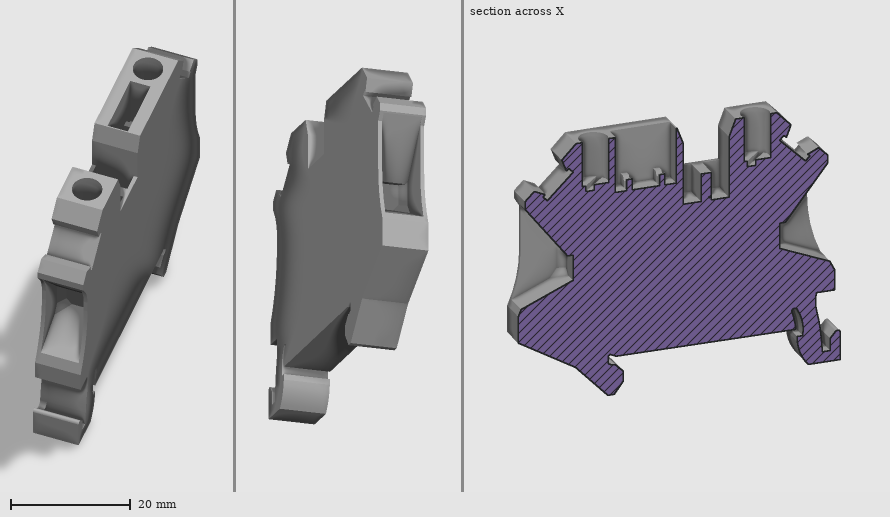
import cadquery as cq


THICKNESS = 8.15
LENGTH = 57.8
HEIGHT = 46.85
MIRROR_Y = 29.4
WALL = 0.7
CAVITY_HALF_WIDTH = THICKNESS / 2 - WALL

SADDLE_FRONT_Y = 20.0
SADDLE_REAR_Y = 28.1
SADDLE_FLOOR_Z = 37.8
TOWER_CHAMFER_WIDTH = 1.2
TOWER_CHAMFER_HEIGHT = 3.1
SADDLE_POCKET_LENGTH = 3.1
SADDLE_POCKET_DEPTH = 5.0

LIP_Y = 2.2
LIP_BOTTOM_Z = 36.3
WAIST_Y = 4.25
REAR_WAIST_Y = 55.65
SHELF_Y = 0.95
SHELF_Z = 12.85

RAIL_SEAT_Z = 6.75
RAIL_SEAT_REAR_Z = 6.9
HOOK_TOP_Z = 5.5
LEG_FOOT = (3.4, 4.7)

SLOT_SIDE_WALL = 1.2
SLOT_FRONT_Y = 1.85
SLOT_FLOOR = (3.18, 2.0)

SCREW_FRONT_Y = 14.9
SCREW_RADIUS = 2.55
SCREW_DEPTH = 8.0
SCREW_SLOT_WIDTH = 1.0
SCREW_SLOT_DEPTH = 1.0
SCREW_SLOT_ANGLE = -45

CHANNEL_WIDTH = 3.6
CHANNEL_FRONT_Y = 29.5
CHANNEL_REAR_Y = 40.3
CHANNEL_DEPTH = 10.0
TOOTH_CENTRES_Y = (31.95, 37.8)
TOOTH_LENGTH = 1.05
TOOTH_HEIGHT = 2.0
TOOTH_GAP = 0.5
TOOTH_CHAMFER_WIDTH = 0.4
TOOTH_CHAMFER_HEIGHT = 0.8

FUNNEL_BACK_Y = 10.8
FUNNEL_ROOF_END_Y = 9.85
FUNNEL_ROOF_END_Z = 26.55
FUNNEL_ROOF_START_Z = 36.25
FUNNEL_FLOOR_START = (1.9, 18.3)
FUNNEL_FLOOR_END_Z = 22.0
FUNNEL_BACK_HALF_WIDTH = 2.15
FUNNEL_SIDE_START_Y = 9.6
FUNNEL_CORNER_START_Y = 8.4
FUNNEL_CORNER_BOTTOM_X = 1.15
FUNNEL_CORNER_TOP_Z = 23.05

SHOULDER = [
    (11.4, HEIGHT),
    (8.8, 44.2),
    (9.65, 42.0),
    (10.1, 42.4),
    (10.85, 41.7),
    (6.25, 37.25),
    (5.5, 38.0),
    (5.9, 38.4),
    (3.9, 39.3),
    (LIP_Y, 37.65),
    (LIP_Y, LIP_BOTTOM_Z),
]

REAR_FOOT = [
    (40.2, RAIL_SEAT_REAR_Z),
    (41.3, 7.4),
    (41.55, 7.2),
    (41.55, 5.8),
    (40.95, HOOK_TOP_Z),
    (40.4, HOOK_TOP_Z),
    (38.9, 4.05),
    (38.9, 2.2),
    (40.55, 0),
    (41.7, 0),
    (47.5, 6.0),
    (LENGTH, 12.05),
    (LENGTH, 16.9),
]


def mirrored(points):
    """Mirror (Y, Z) points to the other end of the block, in reverse order."""
    return [(2 * MIRROR_Y - y, z) for y, z in reversed(points)]


def line_through(sketch, points):
    """Continue a sketch with straight lines through the points."""
    for y, z in points:
        sketch = sketch.lineTo(y, z)
    return sketch


def housing():
    """Full outline, clockwise from the saddle, extruded through the thickness."""
    sketch = cq.Workplane("YZ").moveTo(SADDLE_REAR_Y, SADDLE_FLOOR_Z)
    sketch = line_through(sketch, [
        (SADDLE_FRONT_Y, SADDLE_FLOOR_Z),
        (SADDLE_FRONT_Y, HEIGHT - TOWER_CHAMFER_HEIGHT),
        (SADDLE_FRONT_Y - TOWER_CHAMFER_WIDTH, HEIGHT),
    ])
    sketch = line_through(sketch, SHOULDER)
    sketch = (
        sketch.lineTo(2.95, 35.2)
        .tangentArcPoint((WAIST_Y, 31.15), relative=False)
        .lineTo(WAIST_Y, 29.0)
        .tangentArcPoint((SHELF_Y, 16.5), relative=False)
        .lineTo(SHELF_Y, SHELF_Z)
        .lineTo(WAIST_Y, SHELF_Z)
    )
    sketch = (
        sketch.threePointArc((4.4, 11.2), (4.2, 9.5))
        .threePointArc((3.7, 7.1), LEG_FOOT)
        .threePointArc((2.7, 3.9), (SLOT_FRONT_Y, 4.2))
        .lineTo(0.85, 5.35)
        .threePointArc((0.45, HOOK_TOP_Z), (0, 5.15))
        .lineTo(0, 0)
        .lineTo(5.75, 0)
        .threePointArc((7.15, 2.15), (7.75, 4.5))
        .lineTo(7.75, HOOK_TOP_Z)
        .lineTo(6.8, HOOK_TOP_Z)
        .threePointArc((7.0, 8.6), (7.75, 10.3))
        .threePointArc((8.25, 10.62), (8.65, 10.2))
        .threePointArc((8.2, 8.5), (7.9, RAIL_SEAT_Z))
    )
    sketch = line_through(sketch, REAR_FOOT)
    sketch = (
        sketch.threePointArc((56.2, 21.7), (REAR_WAIST_Y, 26.6))
        .lineTo(REAR_WAIST_Y, 34.8)
    )
    sketch = line_through(sketch, mirrored(SHOULDER))
    sketch = line_through(sketch, [
        (SADDLE_REAR_Y + TOWER_CHAMFER_WIDTH, HEIGHT),
        (SADDLE_REAR_Y, HEIGHT - TOWER_CHAMFER_HEIGHT),
    ])
    return sketch.close().extrude(THICKNESS / 2, both=True)


def box_between(half_width, y_range, z_range):
    """Box centred on X = 0 between two Y and two Z limits."""
    return (
        cq.Workplane("YZ")
        .moveTo(y_range[0], z_range[0])
        .lineTo(y_range[1], z_range[0])
        .lineTo(y_range[1], z_range[1])
        .lineTo(y_range[0], z_range[1])
        .close()
        .extrude(half_width, both=True)
    )


def saddle_pockets():
    """Two pockets in the saddle floor, each against one tower."""
    z_range = (SADDLE_FLOOR_Z - SADDLE_POCKET_DEPTH, SADDLE_FLOOR_Z)
    front_range = (SADDLE_FRONT_Y, SADDLE_FRONT_Y + SADDLE_POCKET_LENGTH)
    rear_range = (SADDLE_REAR_Y - SADDLE_POCKET_LENGTH, SADDLE_REAR_Y)
    front = box_between(CAVITY_HALF_WIDTH, front_range, z_range)
    return front.union(box_between(CAVITY_HALF_WIDTH, rear_range, z_range))


def screw_hole(centre_y):
    """Round shaft down to the screw head, with the driver slot in its floor."""
    head_z = HEIGHT - SCREW_DEPTH
    at_head = cq.Workplane("XY", origin=(0, centre_y, head_z))
    shaft = at_head.circle(SCREW_RADIUS).extrude(SCREW_DEPTH)
    slot = (
        at_head.transformed(rotate=(0, 0, SCREW_SLOT_ANGLE))
        .rect(2 * SCREW_RADIUS, SCREW_SLOT_WIDTH)
        .extrude(-SCREW_SLOT_DEPTH)
    )
    below_shaft = at_head.circle(SCREW_RADIUS).extrude(-SCREW_SLOT_DEPTH)
    return shaft.union(slot.intersect(below_shaft))


def tooth(side, centre_y):
    """Guide tooth on one channel wall (side = -1 or 1), chamfered towards the gap."""
    floor_z = HEIGHT - CHANNEL_DEPTH
    top_z = floor_z + TOOTH_HEIGHT
    wall_x = side * CHANNEL_WIDTH / 2
    gap_x = side * TOOTH_GAP / 2
    return (
        cq.Workplane("XZ", origin=(0, centre_y, 0))
        .polyline([
            (wall_x, floor_z),
            (gap_x, floor_z),
            (gap_x, top_z - TOOTH_CHAMFER_HEIGHT),
            (gap_x + side * TOOTH_CHAMFER_WIDTH, top_z),
            (wall_x, top_z),
        ])
        .close()
        .extrude(TOOTH_LENGTH / 2, both=True)
    )


def bridge_channel():
    """Slot in the rear tower, less the guide teeth standing on its floor."""
    y_range = (CHANNEL_FRONT_Y, CHANNEL_REAR_Y)
    channel = box_between(CHANNEL_WIDTH / 2, y_range, (HEIGHT - CHANNEL_DEPTH, HEIGHT))
    for centre_y in TOOTH_CENTRES_Y:
        for side in (-1, 1):
            channel = channel.cut(tooth(side, centre_y))
    return channel


def screwdriver_slot():
    """Slot that continues the outer side of the spring leg below the valley."""
    leg_y, leg_z = LEG_FOOT
    floor_y, floor_z = SLOT_FLOOR
    return (
        cq.Workplane("YZ", origin=(SLOT_SIDE_WALL - THICKNESS / 2, 0, 0))
        .polyline([
            (leg_y, leg_z),
            (floor_y, floor_z),
            (SLOT_FRONT_Y, floor_z),
            (SLOT_FRONT_Y, leg_z),
        ])
        .close()
        .extrude(THICKNESS - SLOT_SIDE_WALL)
    )


def funnel_side_cut(side):
    """Wedge that narrows the funnel towards its back wall on one side."""
    return (
        cq.Workplane("XY")
        .polyline([
            (side * CAVITY_HALF_WIDTH, FUNNEL_SIDE_START_Y),
            (side * FUNNEL_BACK_HALF_WIDTH, FUNNEL_BACK_Y),
            (side * CAVITY_HALF_WIDTH, FUNNEL_BACK_Y),
        ])
        .close()
        .extrude(HEIGHT)
    )


def funnel_corner_cut(side, floor_slope):
    """Sloping lower corner: everything below the plane through three known points."""
    floor_y, floor_z = FUNNEL_FLOOR_START
    near_z = floor_z + floor_slope * (FUNNEL_CORNER_START_Y - floor_y)
    near = cq.Vector(side * CAVITY_HALF_WIDTH, FUNNEL_CORNER_START_Y, near_z)
    bottom = cq.Vector(side * FUNNEL_CORNER_BOTTOM_X, FUNNEL_BACK_Y, FUNNEL_FLOOR_END_Z)
    top = cq.Vector(side * FUNNEL_BACK_HALF_WIDTH, FUNNEL_BACK_Y, FUNNEL_CORNER_TOP_Z)
    normal = (bottom - near).cross(top - near) * side
    size = FUNNEL_BACK_Y
    plane = cq.Plane(origin=near.toTuple(), normal=normal.toTuple())
    return cq.Workplane(plane).rect(2 * size, 2 * size).extrude(size)


def wire_funnel():
    """Wire entry of the front end: sloping roof and floor, converging sides, chamfered corners."""
    floor_y, floor_z = FUNNEL_FLOOR_START
    floor_slope = (FUNNEL_FLOOR_END_Z - floor_z) / (FUNNEL_BACK_Y - floor_y)
    funnel = (
        cq.Workplane("YZ")
        .polyline([
            (0, floor_z - floor_slope * floor_y),
            (FUNNEL_BACK_Y, FUNNEL_FLOOR_END_Z),
            (FUNNEL_BACK_Y, FUNNEL_ROOF_END_Z),
            (FUNNEL_ROOF_END_Y, FUNNEL_ROOF_END_Z),
            (LIP_Y, FUNNEL_ROOF_START_Z),
            (0, FUNNEL_ROOF_START_Z),
        ])
        .close()
        .extrude(CAVITY_HALF_WIDTH, both=True)
    )
    for side in (-1, 1):
        funnel = funnel.cut(funnel_side_cut(side))
        funnel = funnel.cut(funnel_corner_cut(side, floor_slope))
    return funnel


def at_rear(front_feature):
    """Mirror a feature of the front end to the rear end."""
    return front_feature.mirror("XZ", (0, MIRROR_Y, 0))


funnel = wire_funnel()
result = housing().cut(saddle_pockets()).cut(bridge_channel()).cut(screwdriver_slot())
for screw_y in (SCREW_FRONT_Y, 2 * MIRROR_Y - SCREW_FRONT_Y):
    result = result.cut(screw_hole(screw_y))
result = result.cut(funnel).cut(at_rear(funnel))